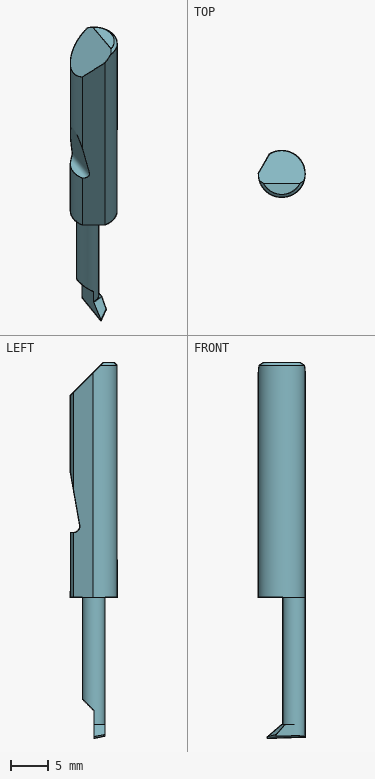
import cadquery as cq
import math

total_length = 50.8
shank_diameter = 6.35
shank_radius = shank_diameter / 2
shank_bottom = 19.05
top_chamfer = 0.4

bevel_start_y = -1.25

flat_distance = 2.8
flat_direction = 150.0

notch_bottom = 27.85
notch_depth = 1.25
notch_radius = 0.8
notch_slope = 10.0

neck_radius = 1.5
neck_x = shank_radius - neck_radius
neck_overlap = 0.5
rake_run_out = 3.8

tip_x = -2.25
nose_radius = 0.15
head_top = 1.95
flank_top_x = 0.0
relieved_foot_x = -1.2
relieved_top_x = 0.45
end_angle = 2.0
end_relief_angle = 10.0

clearance = 10.15


def yz_prism(points):
    """Prism along X, centred on the YZ plane."""
    return cq.Workplane("YZ").polyline(points).close().extrude(clearance, both=True)


def make_shank():
    body = (
        cq.Workplane("XY").workplane(offset=shank_bottom)
        .circle(shank_radius).extrude(total_length - shank_bottom)
        .faces(">Z").chamfer(top_chamfer)
    )
    bevel = yz_prism([
        (bevel_start_y, total_length),
        (bevel_start_y + clearance, total_length),
        (bevel_start_y + clearance, total_length - clearance),
    ])
    flat = (
        cq.Workplane("XY")
        .box(clearance, clearance, total_length, centered=(False, True, False))
        .translate((flat_distance, 0, 0))
        .rotate((0, 0, 0), (0, 0, 1), flat_direction)
    )
    return body.cut(bevel).cut(flat).cut(make_notch())


def make_notch():
    """Notch with a square lower end, a rounded root and a long sloping run-out."""
    slope = math.radians(notch_slope)
    root_y = shank_radius - notch_depth
    center_y = root_y + notch_radius
    center_z = notch_bottom + notch_radius
    mid_angle = (slope - math.pi / 2) / 2
    mid_point = (
        center_y - notch_radius * math.cos(mid_angle),
        center_z + notch_radius * math.sin(mid_angle),
    )
    tangent_y = center_y - notch_radius * math.cos(slope)
    tangent_z = center_z + notch_radius * math.sin(slope)
    run_out_z = tangent_z + (shank_radius - tangent_y) / math.tan(slope)
    return (
        cq.Workplane("YZ").moveTo(shank_radius, notch_bottom)
        .lineTo(center_y, notch_bottom)
        .threePointArc(mid_point, (tangent_y, tangent_z))
        .lineTo(shank_radius, run_out_z)
        .close().extrude(clearance, both=True)
    )


def make_neck():
    """Round neck, cut back to its middle plane at the lower end."""
    body = cq.Workplane("XY").center(neck_x, 0).circle(neck_radius).extrude(shank_bottom + neck_overlap)
    rake_cut = yz_prism([
        (0, -clearance),
        (0, rake_run_out),
        (clearance, rake_run_out + clearance),
        (clearance, -clearance),
    ])
    return body.cut(rake_cut)


def make_head():
    """Head from the rake face at y = 0 to the relieved back face."""
    return (
        cq.Workplane("XZ")
        .polyline([(tip_x, 0), (flank_top_x, head_top), (neck_x, head_top), (neck_x, 0)]).close()
        .workplane(offset=neck_radius)
        .polyline([
            (relieved_foot_x, 0),
            (relieved_top_x, head_top),
            (neck_x, head_top),
            (neck_x, 0),
        ]).close()
        .loft(ruled=True)
    )


def make_end_cut():
    """Block whose tilted top face relieves the lower end behind the tip."""
    return (
        cq.Workplane("XY")
        .box(2 * clearance, 2 * clearance, clearance, centered=(True, True, False))
        .translate((0, 0, -clearance))
        .rotate((0, 0, 0), (1, 0, 0), -end_relief_angle)
        .rotate((0, 0, 0), (0, 1, 0), -end_angle)
        .translate((tip_x, 0, 0))
    )


end_cut = make_end_cut()
head = make_head().cut(end_cut)
nose_edge = cq.selectors.NearestToPointSelector(
    ((tip_x + relieved_foot_x) / 2, -neck_radius / 2, 0)
)
head = head.edges(nose_edge).fillet(nose_radius)
tool_end = make_neck().cut(end_cut).union(head)

nose_lift = tool_end.val().BoundingBox().zmin
result = make_shank().union(tool_end.translate((0, 0, -nose_lift)))